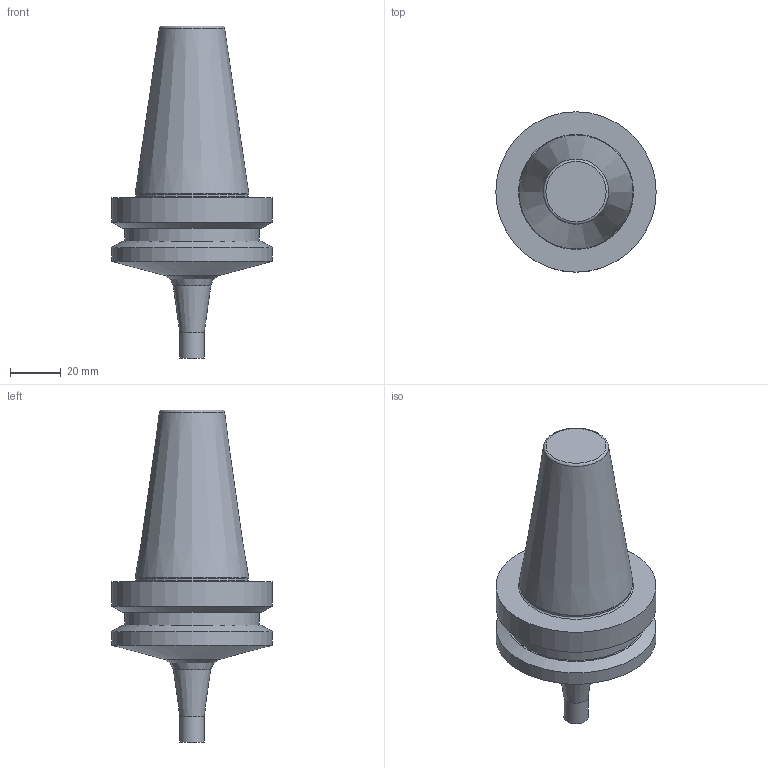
import cadquery as cq
import math


gauge_diameter = 44.45
taper_length = 65.4
taper_end_z = -0.4
taper_ratio = 7 / 24
shank_end_fillet = 1.0

relief_diameter = 44.0
relief_fillet = 0.6

flange_diameter = 62.98
flange_top_z = -2.0
flange_bottom_z = -27.0
groove_centre_z = -16.6
groove_mouth_width = 10.0
groove_floor_width = 5.0
groove_floor_diameter = 53.0
groove_wall_angle = 30.0

nose_end_z = -65.0
nose_diameter = 9.6
nose_straight_length = 10.0
nose_taper_angle = 8.0
flange_underside_angle = 15.0
nose_root_fillet = 5.0

select_margin = 0.05


def slope(angle):
    """Rise per unit of run for an angle in degrees."""
    return math.tan(math.radians(angle))


gauge_radius = gauge_diameter / 2
relief_radius = relief_diameter / 2
flange_radius = flange_diameter / 2
nose_radius = nose_diameter / 2

shank_end_radius = gauge_radius - taper_length * taper_ratio / 2

taper_end_radius = gauge_radius - taper_end_z * taper_ratio / 2

relief_top_z = taper_end_z - (taper_end_radius - relief_radius)

nose_shoulder_z = nose_end_z + nose_straight_length
nose_slope = slope(nose_taper_angle)
underside_slope = slope(flange_underside_angle)
underside_apex_z = flange_bottom_z - flange_radius * underside_slope
nose_root_radius = (nose_radius + (underside_apex_z - nose_shoulder_z) * nose_slope) / (
    1 - underside_slope * nose_slope
)
nose_root_z = underside_apex_z + nose_root_radius * underside_slope


def groove_points():
    """Half section of the gripper groove as (radius, z), from top to bottom."""
    half_mouth = groove_mouth_width / 2
    half_floor = groove_floor_width / 2
    floor_radius = groove_floor_diameter / 2
    ledge_radius = flange_radius - (half_mouth - half_floor) / slope(groove_wall_angle)
    return [
        (flange_radius, groove_centre_z + half_mouth),
        (ledge_radius, groove_centre_z + half_floor),
        (floor_radius, groove_centre_z + half_floor),
        (floor_radius, groove_centre_z - half_floor),
        (ledge_radius, groove_centre_z - half_floor),
        (flange_radius, groove_centre_z - half_mouth),
    ]


def turned_body():
    """Solid of revolution with sharp corners."""
    shank = [
        (0, taper_length),
        (shank_end_radius, taper_length),
        (taper_end_radius, taper_end_z),
        (relief_radius, relief_top_z),
        (relief_radius, flange_top_z),
    ]
    nose = [
        (flange_radius, flange_bottom_z),
        (nose_root_radius, nose_root_z),
        (nose_radius, nose_shoulder_z),
        (nose_radius, nose_end_z),
        (0, nose_end_z),
    ]
    outline = shank + [(flange_radius, flange_top_z)] + groove_points() + nose
    return cq.Workplane("XZ").polyline(outline).close().revolve(360, (0, 0), (0, 1))


def round_edge(body, edge_radius, edge_z, fillet):
    """Fillet the circular edge that has the given radius and height."""
    edges = [
        edge
        for edge in body.edges("%CIRCLE").vals()
        if math.dist((edge.radius(), edge.Center().z), (edge_radius, edge_z)) < select_margin
    ]
    return body.newObject(edges).fillet(fillet)


result = turned_body()
result = round_edge(result, shank_end_radius, taper_length, shank_end_fillet)
result = round_edge(result, relief_radius, flange_top_z, relief_fillet)
result = round_edge(result, nose_root_radius, nose_root_z, nose_root_fillet)